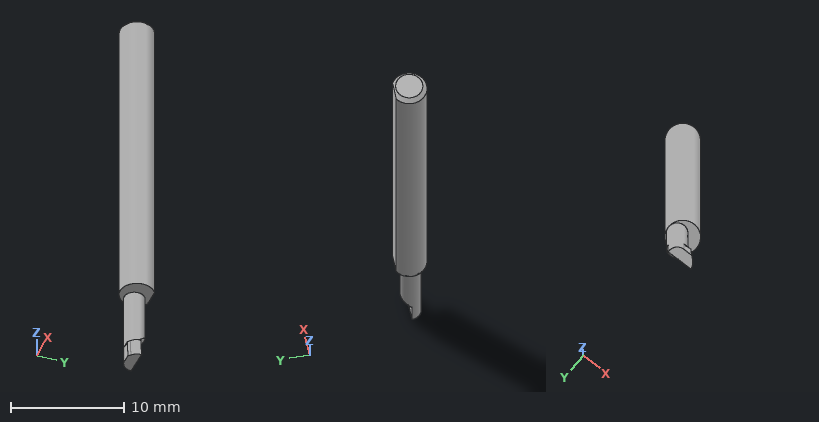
import cadquery as cq
import math

total_length = 38.1
shank_diameter = 3.15
shank_radius = shank_diameter / 2
shank_bottom = 7.62
shank_depth = 2.95
flat_y = shank_depth - shank_radius
end_chamfer = 0.4

neck_radius = 0.95
neck_x = neck_radius - shank_radius

rake_y = 0.08
relief_bottom = 2.2
relief_top = 3.1

head_height = 1.83
tip_x = 1.0
top_edge_x = 0.8
heel_x_bottom = 0.25
heel_x_top = 0.15
facet_width = 0.23
facet_depth = 0.2
flank_bulge = 0.1
end_slope_x = 2.0
end_slope_y = 5.0


def make_shank():
    shank = (
        cq.Workplane("XY")
        .workplane(offset=shank_bottom)
        .circle(shank_radius)
        .extrude(total_length - shank_bottom)
        .faces(">Z")
        .chamfer(end_chamfer)
    )
    flat_cutter = cq.Workplane("XY").box(
        shank_diameter, shank_diameter, total_length, centered=(True, False, False)
    )
    return shank.cut(flat_cutter.translate((0, flat_y, 0)))


def make_neck():
    neck = cq.Workplane("XY").center(neck_x, 0).circle(neck_radius).extrude(shank_bottom)
    relief = (
        cq.Workplane("YZ")
        .moveTo(rake_y, 0)
        .lineTo(rake_y, relief_bottom)
        .lineTo(neck_radius, relief_top)
        .lineTo(neck_radius, 0)
        .close()
        .extrude(shank_radius, both=True)
    )
    return neck.cut(relief)


def head_outline(plane, heel_x, edge_x):
    """Head section: straight face tangent to the neck, facet, then a curved flank up to the rake face."""
    flank_start_x = heel_x + facet_width
    flank_start_y = facet_depth - neck_radius
    flank_middle = ((flank_start_x + edge_x) / 2 + flank_bulge, (flank_start_y + rake_y) / 2)
    return (
        plane.moveTo(neck_x, rake_y)
        .lineTo(neck_x, -neck_radius)
        .lineTo(heel_x, -neck_radius)
        .lineTo(flank_start_x, flank_start_y)
        .threePointArc(flank_middle, (edge_x, rake_y))
        .close()
    )


def make_head():
    bottom = head_outline(cq.Workplane("XY"), heel_x_bottom, tip_x)
    upper_plane = bottom.workplane(offset=head_height)
    return head_outline(upper_plane, heel_x_top, top_edge_x).loft(ruled=True)


def make_end_cutter():
    """Block below the end face, sloping up from the tip towards -X and -Y."""
    end_normal = (math.tan(math.radians(end_slope_x)), math.tan(math.radians(end_slope_y)), 1)
    end_plane = cq.Plane(origin=(tip_x, rake_y, 0), xDir=(0, 1, -end_normal[1]), normal=end_normal)
    return cq.Workplane(end_plane).circle(2 * shank_diameter).extrude(-shank_diameter)


tool_end = make_neck().union(make_head()).cut(make_end_cutter())
result = make_shank().union(tool_end)